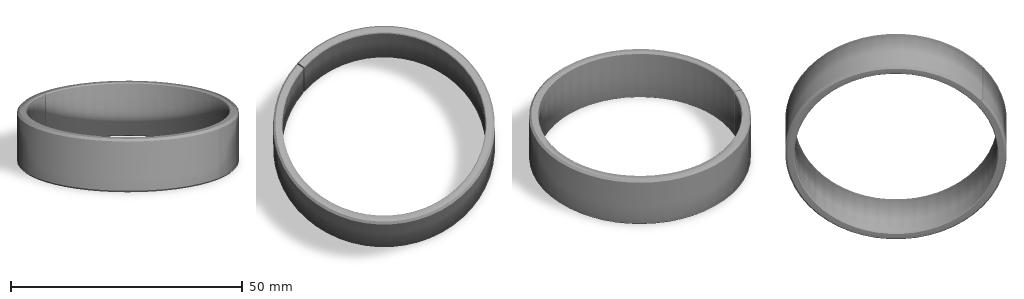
import cadquery as cq

outer_diameter = 48.0
wall = 2.0
height = 12.0
outer_chamfer_width = 0.5
outer_chamfer_height = 0.5
inner_chamfer = 0.2
slit_width = 0.35

outer_radius = outer_diameter / 2
inner_radius = outer_radius - wall


def ring():
    """Revolve the wall section, with all four corners chamfered, about Z."""
    section = [
        (inner_radius + inner_chamfer, 0),
        (outer_radius - outer_chamfer_width, 0),
        (outer_radius, outer_chamfer_height),
        (outer_radius, height - outer_chamfer_height),
        (outer_radius - outer_chamfer_width, height),
        (inner_radius + inner_chamfer, height),
        (inner_radius, height - inner_chamfer),
        (inner_radius, inner_chamfer),
    ]
    return cq.Workplane("XZ").polyline(section).close().revolve(360, (0, 0), (0, 1))


def slit():
    """Full-height cutter reaching from the axis out through the -X wall, with one face on the XZ plane."""
    return cq.Workplane("XY").box(
        outer_diameter, slit_width, height, centered=(True, False, False)
    ).translate((-outer_radius, 0, 0))


result = ring().cut(slit())